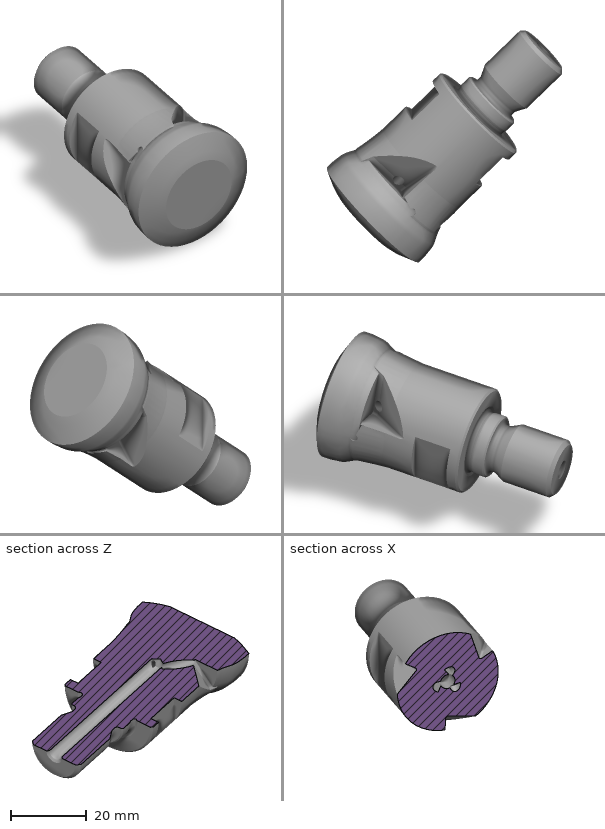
import cadquery as cq
import math

length = 65.95

shank_radius = 16.0 / 2
tip_chamfer = 1.05
groove_radius = 13.0 / 2
groove_start = 17.2
groove_end = 17.95
groove_fillet = 1.0
groove_cone_angle = 27.0
collar_radius = 17.0 / 2
collar_start = groove_end + groove_fillet
collar_chamfer = 0.4
collar_end = 22.15
neck_radius = 16.55 / 2
neck_start = 22.8

body_radius = 29.0 / 2
body_start = 23.9
body_chamfer = 0.5
undercut_radius = 9.75
undercut_depth = 0.3
undercut_fillet = 0.7
flare_start = 45.3
flare_end = 53.95
flare_end_radius = 15.55
flare_mid_radius = 14.9
rim_end = 54.55

flat_start = 26.9
flat_end = 37.05
flat_distance = 12.0

head_start = 52.7
head_start_radius = 14.8
shoulder_points = [(54.55, 15.5), (57.2, 16.8), (59.35, 17.35)]
head_radius = 34.95 / 2
crown_end = 63.2
dome_mid = (64.75, 14.3)
face_radius = 10.55

flute_count = 3
root_start = cq.Vector(40.1, -12.1, 8.05)
root_bend = cq.Vector(51.1, -5.2, 3.1)
seat_lift = 0.65
wall_angle = 32.3
floor_angle = -47.7
root_fillet = 0.5
flute_reach = 26.4
flute_runout = 1.3

relief_start = 52.0
relief_center = (53.55, 4.3)
relief_radius = 1.05
relief_floor = 7.6
relief_overlap = 0.3

bore_diameter = 4.0
bore_mouth_diameter = 5.15
bore_depth = 46.15
bore_point_angle = 118.0
branch_diameter = 3.0
branch_start = cq.Vector(45.5, -2.2, -1.2)
branch_exit = cq.Vector(50.9, -7.2, 1.0)
branch_overrun = 0.8


def turned_body():
    slope = math.radians(groove_cone_angle)
    cone_end = groove_start - groove_fillet * math.sin(slope)
    cone_end_radius = groove_radius + groove_fillet * (1 - math.cos(slope))
    shank_end = cone_end - (shank_radius - cone_end_radius) / math.tan(slope)
    undercut_end = body_start + undercut_depth
    profile = (
        cq.Workplane("XY")
        .lineTo(0, shank_radius - tip_chamfer)
        .lineTo(tip_chamfer, shank_radius)
        .lineTo(shank_end, shank_radius)
        .lineTo(cone_end, cone_end_radius)
        .radiusArc((groove_start, groove_radius), -groove_fillet)
        .lineTo(groove_end, groove_radius)
        .radiusArc((collar_start, groove_radius + groove_fillet), -groove_fillet)
        .lineTo(collar_start, collar_radius - collar_chamfer)
        .lineTo(collar_start + collar_chamfer, collar_radius)
        .lineTo(collar_end, collar_radius)
        .lineTo(neck_start, neck_radius)
        .lineTo(undercut_end - undercut_fillet, neck_radius)
        .radiusArc((undercut_end, neck_radius + undercut_fillet), -undercut_fillet)
        .lineTo(body_start, undercut_radius)
        .lineTo(body_start, body_radius - body_chamfer)
        .lineTo(body_start + body_chamfer, body_radius)
        .lineTo(flare_start, body_radius)
        .threePointArc(((flare_start + flare_end) / 2, flare_mid_radius), (flare_end, flare_end_radius))
        .lineTo(rim_end, flare_end_radius)
        .lineTo(rim_end, 0)
        .close()
    )
    return profile.revolve(360, (0, 0, 0), (1, 0, 0))


def head():
    profile = (
        cq.Workplane("XY")
        .moveTo(head_start, 0)
        .lineTo(head_start, head_start_radius)
        .spline(shoulder_points + [(crown_end, head_radius)], [(2, 1), (1, 0)], includeCurrent=True)
        .threePointArc(dome_mid, (length, face_radius))
        .lineTo(length, 0)
        .close()
    )
    return profile.revolve(360, (0, 0, 0), (1, 0, 0))


def wrench_flat(side):
    depth = body_radius - flat_distance
    return cq.Workplane("XY").box(flat_end - flat_start, 2 * depth, 2 * body_radius).translate(
        ((flat_start + flat_end) / 2, side * (flat_distance + depth), 0)
    )


def outward(angle):
    """Direction across X, measured from -Y towards +Z."""
    return cq.Vector(0, -math.cos(math.radians(angle)), math.sin(math.radians(angle)))


def wedge(corner, sweep):
    """V-shaped prism with its rounded root running from corner along sweep."""
    wall_tip = corner + outward(wall_angle) * flute_reach
    floor_tip = corner + outward(floor_angle) * flute_reach
    section = cq.Wire.makePolygon([corner, wall_tip, floor_tip], close=True)
    prism = cq.Workplane(cq.Solid.extrudeLinear(section, [], sweep))
    root_middle = corner + sweep * 0.5
    return prism.edges(cq.selectors.NearestToPointSelector(root_middle.toTuple())).fillet(root_fillet)


def flute():
    entry = root_start - root_bend
    entry_sweep = entry + entry.normalized() * flute_runout
    seat = entry * ((head_start - root_bend.x) / entry.x) + outward(wall_angle) * seat_lift
    seat_sweep = seat * ((rim_end - root_bend.x) / seat.x)
    return wedge(root_bend, entry_sweep).union(wedge(root_bend, seat_sweep)).clean()


def corner_relief():
    """Notch above the flute wall where it meets the head, ending in a round relief."""
    plane = cq.Plane(cq.Vector(0, root_bend.y, root_bend.z), cq.Vector(1, 0, 0), outward(wall_angle))
    base = cq.Workplane(plane).workplane(offset=relief_floor)
    notch = (
        base.moveTo(relief_start, 0)
        .lineTo(relief_center[0] - relief_radius / 2, relief_center[1] - relief_radius)
        .lineTo(*relief_center)
        .lineTo(rim_end, relief_center[1])
        .lineTo(rim_end, -relief_overlap)
        .close()
        .extrude(flute_reach)
    )
    return notch.union(base.center(*relief_center).circle(relief_radius).extrude(flute_reach))


def coolant_bore():
    radius = bore_diameter / 2
    mouth_radius = bore_mouth_diameter / 2
    point_length = radius / math.tan(math.radians(bore_point_angle / 2))
    profile = (
        cq.Workplane("XY")
        .lineTo(0, mouth_radius)
        .lineTo(mouth_radius - radius, radius)
        .lineTo(bore_depth, radius)
        .lineTo(bore_depth + point_length, 0)
        .close()
    )
    return profile.revolve(360, (0, 0, 0), (1, 0, 0))


def coolant_branch():
    path = branch_exit - branch_start
    return cq.Workplane(
        cq.Solid.makeCylinder(branch_diameter / 2, path.Length + branch_overrun, branch_start, path)
    )


def around_axis(cutter, index):
    return cutter.rotate((0, 0, 0), (1, 0, 0), -index * 360 / flute_count)


holder = turned_body()
for side in (-1, 1):
    holder = holder.cut(wrench_flat(side))
for index in range(flute_count):
    holder = holder.cut(around_axis(flute(), index))
    holder = holder.cut(around_axis(corner_relief(), index))
holder = holder.union(head()).cut(coolant_bore())
for index in range(flute_count):
    holder = holder.cut(around_axis(coolant_branch(), index))

result = holder